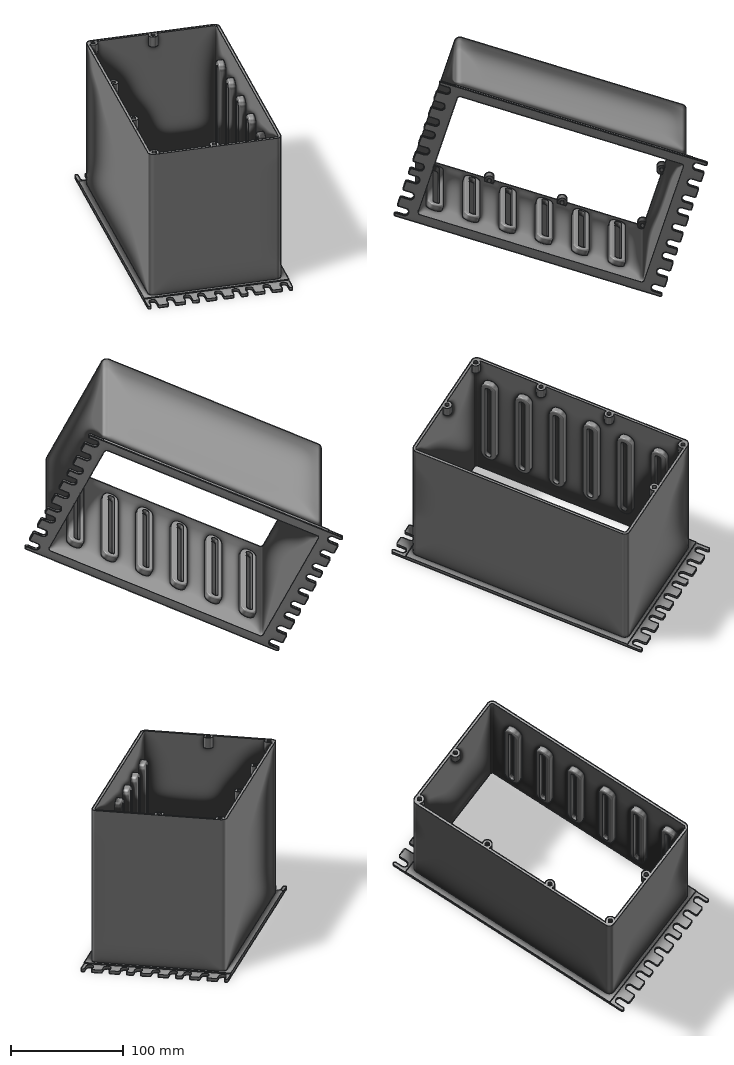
import cadquery as cq

FLANGE_LENGTH = 250.0
RACK_UNIT = 44.45
RACK_UNITS = 3
FLANGE_WIDTH = RACK_UNITS * RACK_UNIT
FLANGE_THICKNESS = 4.0
TAB_LENGTH = 14.0
TAB_THICKNESS = 3.0
TAB_CORNER_RADIUS = 1.5
BOTTOM_CHAMFER = 0.4

SLOT_WIDTH = 6.5
SLOT_DEPTH = 11.5
SLOT_OFFSETS_IN_UNIT = (6.35, 22.225, 38.1)

TOTAL_HEIGHT = 147.0
FLANGE_MARGIN_X = 17.0
FLANGE_MARGIN_Y = 5.5
BOX_LENGTH = FLANGE_LENGTH - 2 * FLANGE_MARGIN_X
BOX_WIDTH = FLANGE_WIDTH - 2 * FLANGE_MARGIN_Y
WALL = 2.5
BOX_CORNER_RADIUS = 5.0
INNER_LENGTH = BOX_LENGTH - 2 * WALL
INNER_WIDTH = BOX_WIDTH - 2 * WALL
INNER_CORNER_RADIUS = BOX_CORNER_RADIUS - WALL

RIB_COUNT = 6
RIB_PITCH = 34.0
RIB_ROW_CENTER_X = 5.0
RIB_WIDTH = 15.0
RIB_PROTRUSION = 6.0
RIB_TOP_GAP = 22.0
RIB_LENGTH = TOTAL_HEIGHT - 2 * RIB_TOP_GAP
RIB_FILLET = 1.75
RIB_POCKET_WIDTH = 6.0
RIB_POCKET_DEPTH = 4.5
RIB_RIM = (RIB_WIDTH - RIB_POCKET_WIDTH) / 2
RIB_POCKET_LENGTH = RIB_LENGTH - 2 * RIB_RIM

BOSS_HEIGHT = 10.0
SCREW_HOLE_DIAMETER = 3.7
BOSS_DIAMETER = SCREW_HOLE_DIAMETER + 2 * WALL
SCREW_HOLE_RADIUS = SCREW_HOLE_DIAMETER / 2
END_BOSS_X = INNER_LENGTH / 2 - SCREW_HOLE_RADIUS
FRONT_BOSS_Y = -(INNER_WIDTH / 2 - SCREW_HOLE_RADIUS)
CORNER_BOSS_SHIFT = 1.5
CORNER_BOSS_Y = FRONT_BOSS_Y + CORNER_BOSS_SHIFT
BOSS_POSITIONS = (
    (-END_BOSS_X, 0),
    (END_BOSS_X, 0),
    (-END_BOSS_X, CORNER_BOSS_Y),
    (END_BOSS_X, CORNER_BOSS_Y),
    (RIB_ROW_CENTER_X - RIB_PITCH, FRONT_BOSS_Y),
    (RIB_ROW_CENTER_X + RIB_PITCH, FRONT_BOSS_Y),
)


def block(length, width, height):
    """Box centred on X and Y, standing on Z = 0."""
    return cq.Workplane("XY").box(length, width, height, centered=(True, True, False))


def make_slots():
    """Cutters for the round-ended screw slots, open at both flange ends."""
    centers = []
    for unit in range(RACK_UNITS):
        for offset in SLOT_OFFSETS_IN_UNIT:
            y = unit * RACK_UNIT + offset - FLANGE_WIDTH / 2
            centers += [(-FLANGE_LENGTH / 2, y), (FLANGE_LENGTH / 2, y)]
    return (
        cq.Workplane("XY")
        .pushPoints(centers)
        .slot2D(2 * SLOT_DEPTH, SLOT_WIDTH)
        .extrude(TAB_THICKNESS)
    )


def make_flange():
    """Flange with thinner slotted tabs at both ends."""
    tabs = block(FLANGE_LENGTH, FLANGE_WIDTH, TAB_THICKNESS).cut(make_slots())
    tabs = tabs.edges("|Z").edges("<X or >X").fillet(TAB_CORNER_RADIUS)
    center = block(FLANGE_LENGTH - 2 * TAB_LENGTH, FLANGE_WIDTH, FLANGE_THICKNESS)
    flange = tabs.union(center)
    return flange.faces("<Z").edges().chamfer(BOTTOM_CHAMFER)


def make_ribs():
    """Round-ended ribs with a pocket along the middle, on both long walls."""
    first_x = RIB_ROW_CENTER_X - RIB_PITCH * (RIB_COUNT - 1) / 2
    centers = [(first_x + i * RIB_PITCH, TOTAL_HEIGHT / 2) for i in range(RIB_COUNT)]
    rib_row = (
        cq.Workplane("XZ", origin=(0, INNER_WIDTH / 2, 0))
        .pushPoints(centers)
        .slot2D(RIB_LENGTH, RIB_WIDTH, 90)
        .extrude(RIB_PROTRUSION)
        .faces("<Y")
        .edges()
        .fillet(RIB_FILLET)
    )
    pockets = (
        cq.Workplane("XZ", origin=(0, INNER_WIDTH / 2 - RIB_PROTRUSION, 0))
        .pushPoints(centers)
        .slot2D(RIB_POCKET_LENGTH, RIB_POCKET_WIDTH, 90)
        .extrude(-RIB_POCKET_DEPTH)
    )
    rib_row = rib_row.cut(pockets)
    return rib_row.union(rib_row.mirror("XZ"))


def make_bosses(diameter):
    """Cylinders of the given diameter at the screw positions, flush with the rim."""
    return (
        cq.Workplane("XY", origin=(0, 0, TOTAL_HEIGHT - BOSS_HEIGHT))
        .pushPoints(BOSS_POSITIONS)
        .circle(diameter / 2)
        .extrude(BOSS_HEIGHT)
    )


outer_box = block(BOX_LENGTH, BOX_WIDTH, TOTAL_HEIGHT).edges("|Z").fillet(BOX_CORNER_RADIUS)
cavity = block(INNER_LENGTH, INNER_WIDTH, TOTAL_HEIGHT).edges("|Z").fillet(INNER_CORNER_RADIUS)

result = make_flange().union(outer_box).cut(cavity)
result = result.union(make_ribs())
bosses_inside_box = make_bosses(BOSS_DIAMETER).intersect(outer_box)
result = result.union(bosses_inside_box).cut(make_bosses(SCREW_HOLE_DIAMETER))